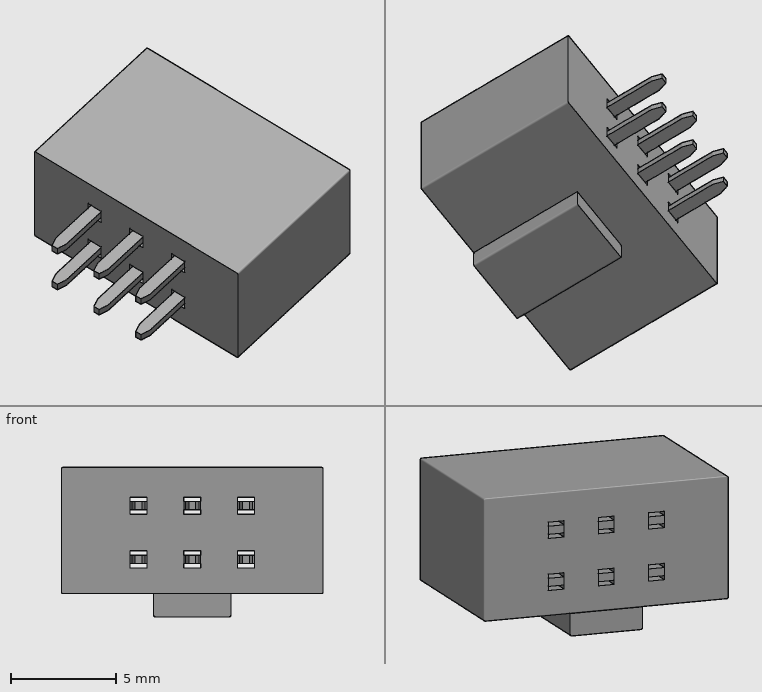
import cadquery as cq

housing_width = 12.42
housing_depth = 8.5
housing_height = 6.0
housing_edge_radius = 0.1
rear_edge_radius = 0.05

key_width = 3.68
key_depth = 6.0
key_height = 1.1
key_edge_radius = 0.1

column_count = 3
row_count = 2
pitch = 2.55
grid_center_z = -0.1
cavity_size = 0.8

pin_width = 0.63
pin_thickness = 0.4
pin_protrusion = 3.0
tip_width = 0.32
tip_length = 0.5
shoulder_recess = 0.25
shoulder_length = 0.09

front_y = 0.0
rear_y = front_y + housing_depth
housing_bottom_z = -housing_height / 2


def contact_positions():
    """X and Z of every contact in the grid."""
    return [
        (
            (column - (column_count - 1) / 2) * pitch,
            grid_center_z + (row - (row_count - 1) / 2) * pitch,
        )
        for row in range(row_count)
        for column in range(column_count)
    ]


def make_shell():
    """Outer block with rounded long edges and a finely rounded rear rim."""
    block = cq.Workplane("XY").box(housing_width, housing_depth, housing_height)
    block = block.edges("|Y").fillet(housing_edge_radius)
    block = block.faces(">Y").edges().fillet(rear_edge_radius)
    return block.translate((0, front_y + housing_depth / 2, 0))


def make_key():
    """Key under the housing, flush with the rear face, rounded along its bottom edges."""
    key = cq.Workplane("XY").box(key_width, key_depth, key_height)
    key = key.edges("|Y and <Z").fillet(key_edge_radius)
    return key.translate((0, rear_y - key_depth / 2, housing_bottom_z - key_height / 2))


def make_cavities():
    """Square passages that run through the housing from front to rear."""
    cavities = cq.Workplane("XY")
    for x, z in contact_positions():
        cavity = cq.Workplane("XY").box(cavity_size, housing_depth, cavity_size)
        cavities = cavities.add(cavity.translate((x, front_y + housing_depth / 2, z)))
    return cavities.combine()


def make_housing():
    return make_shell().union(make_key()).cut(make_cavities())


def make_pin(x, z):
    """Flat pin: tapered tip, straight tail, and a shank that spans its cavity."""
    tip_y = front_y - pin_protrusion
    tail_y = tip_y + tip_length
    shoulder_y = front_y + shoulder_recess
    right_side = [
        (tip_width / 2, tip_y),
        (pin_width / 2, tail_y),
        (pin_width / 2, shoulder_y),
        (cavity_size / 2, shoulder_y + shoulder_length),
        (cavity_size / 2, rear_y),
    ]
    left_side = [(-half_width, y) for half_width, y in reversed(right_side)]
    pin = cq.Workplane("XY").polyline(right_side + left_side).close().extrude(pin_thickness)
    return pin.translate((x, 0, z - pin_thickness / 2))


housing = make_housing()
pins = [make_pin(x, z) for x, z in contact_positions()]

result = cq.Compound.makeCompound([housing.val(), *[pin.val() for pin in pins]])